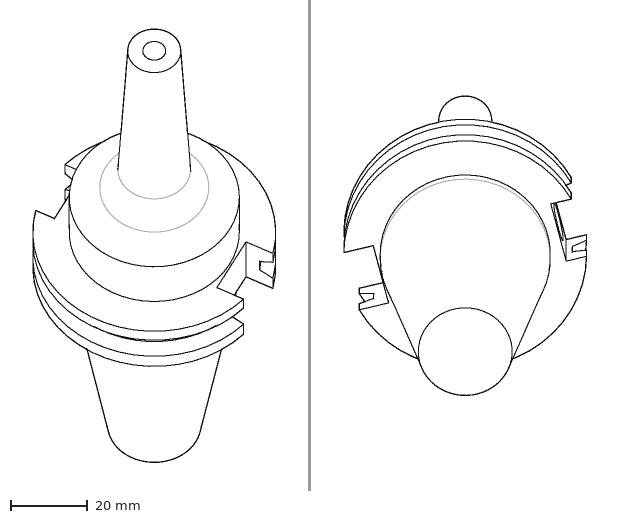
import cadquery as cq

total_height = 169.8
gauge_height = 68.5
flange_bottom = 71.5
flange_top = 87.5
shoulder_bottom = 103.3
shoulder_top = 107.7
neck_bottom = 116.0

gauge_radius = 22.3
shank_taper = 7 / 24
shank_end_radius = gauge_radius - gauge_height * shank_taper / 2
shoulder_top_radius = 14.3
neck_bottom_radius = 9.5
tip_radius = 7.0

flange_radius = 31.8
groove_radius = 28.0
groove_bottom = 76.1
groove_floor_bottom = 77.5
groove_floor_top = 81.2
groove_top = 83.4

slot_width = 16.5
left_slot_floor = 25.1
right_slot_floor = 22.8

pocket_diameter = 10.0
pocket_depth = 6.8
pocket_height = (flange_bottom + flange_top) / 2

bore_diameter = 6.0
bore_depth = 35.7


def make_turned_body():
    """Revolve the half outline of the holder about Z."""
    outline = (
        cq.Workplane("XZ")
        .lineTo(shank_end_radius, 0)
        .lineTo(gauge_radius, gauge_height)
        .lineTo(gauge_radius, flange_bottom)
        .lineTo(flange_radius, flange_bottom)
        .lineTo(flange_radius, groove_bottom)
        .lineTo(groove_radius, groove_floor_bottom)
        .lineTo(groove_radius, groove_floor_top)
        .lineTo(flange_radius, groove_top)
        .lineTo(flange_radius, flange_top)
        .lineTo(gauge_radius, flange_top)
        .lineTo(gauge_radius, shoulder_bottom)
        .lineTo(shoulder_top_radius, shoulder_top)
        .tangentArcPoint((neck_bottom_radius, neck_bottom), relative=False)
        .lineTo(tip_radius, total_height)
        .lineTo(0, total_height)
        .close()
    )
    return outline.revolve(360, (0, 0, 0), (0, 1, 0))


def make_drive_slot(side, floor_distance):
    """Cutter for one slot; side is -1 for -X and +1 for +X."""
    depth = flange_radius - floor_distance
    return (
        cq.Workplane("XY", origin=(side * (floor_distance + depth / 2), 0, flange_bottom))
        .rect(depth, slot_width)
        .extrude(flange_top - flange_bottom)
    )


def make_slot_pocket():
    return (
        cq.Workplane("YZ", origin=(-left_slot_floor, 0, pocket_height))
        .circle(pocket_diameter / 2)
        .extrude(pocket_depth)
    )


def make_bore():
    return (
        cq.Workplane("XY", origin=(0, 0, total_height))
        .circle(bore_diameter / 2)
        .extrude(-bore_depth)
    )


result = (
    make_turned_body()
    .cut(make_drive_slot(-1, left_slot_floor))
    .cut(make_drive_slot(1, right_slot_floor))
    .cut(make_slot_pocket())
    .cut(make_bore())
)